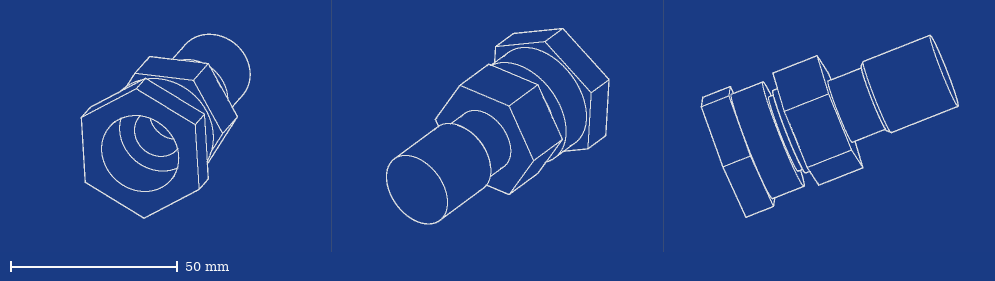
import cadquery as cq
import math

body_hex_end = 8.95
bore_depth = 17.4
collar_end = 19.1
undercut_end = 20.95
nut_start = 23.1
spigot_end = 31.95
nut_end = 37.4
tail_start = 48.35
overall_length = 71.0

body_across_corners = 41.6
body_tilt = 3.4
collar_diameter = 33.7
bore_diameter = 24.35
passage_diameter = 15.0
undercut_diameter = 24.0
spigot_diameter = 26.7

nut_across_flats = 32.0
nut_across_corners = nut_across_flats / math.cos(math.radians(30))

stem_diameter = 19.8
tail_diameter = 23.0
tail_chamfer = 1.1


def section_plane(y):
    """XZ plane at the given Y, with its normal toward +Y and local Y along -Z."""
    return cq.Workplane(cq.Plane(origin=(0, y, 0), xDir=(1, 0, 0), normal=(0, 1, 0)))


def cylinder(diameter, start, end):
    return section_plane(start).circle(diameter / 2).extrude(end - start)


def hexagon(across_corners, start, end):
    """Hexagonal prism along Y with two corners on the X axis."""
    return section_plane(start).polygon(6, across_corners).extrude(end - start)


def make_body():
    """Body: hexagon, collar, undercut and spigot, with a wide bore and a narrow passage."""
    head = hexagon(body_across_corners, 0, body_hex_end).rotate(
        (0, 0, 0), (0, 1, 0), -90 - body_tilt
    )
    collar = cylinder(collar_diameter, body_hex_end, collar_end)
    undercut = cylinder(undercut_diameter, collar_end, undercut_end)
    spigot = cylinder(spigot_diameter, undercut_end, spigot_end)
    outside = head.union(collar).union(undercut).union(spigot)
    bore = cylinder(bore_diameter, 0, bore_depth)
    passage = cylinder(passage_diameter, bore_depth, spigot_end)
    return outside.cut(bore).cut(passage)


def make_nut():
    """Hexagonal nut over the spigot, with a smaller hole in its back wall for the stem."""
    blank = hexagon(nut_across_corners, nut_start, nut_end)
    spigot_hole = cylinder(spigot_diameter, nut_start, spigot_end)
    stem_hole = cylinder(stem_diameter, spigot_end, nut_end)
    return blank.cut(spigot_hole).cut(stem_hole)


def make_stem():
    """Solid stem butting on the spigot, with a thicker tail chamfered at its front edge."""
    shank = cylinder(stem_diameter, spigot_end, tail_start)
    tail = cylinder(tail_diameter, tail_start, overall_length)
    tail = tail.faces("<Y").chamfer(tail_chamfer)
    return shank.union(tail)


body = make_body()
nut = make_nut()
stem = make_stem()

result = cq.Compound.makeCompound([body.val(), nut.val(), stem.val()])